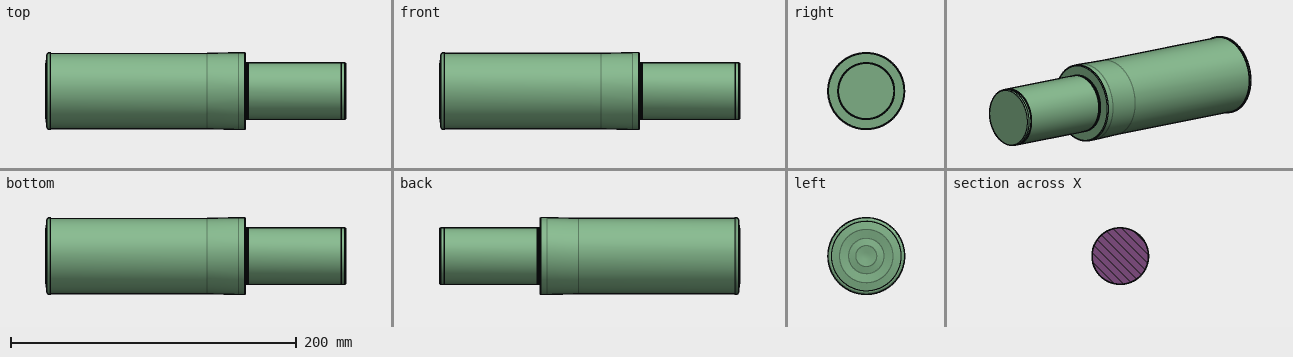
import cadquery as cq

TOTAL_LENGTH = 210.0
HOUSING_LENGTH = 139.9
LEFT_END = -TOTAL_LENGTH / 2
HOUSING_END = LEFT_END + HOUSING_LENGTH
RIGHT_END = LEFT_END + TOTAL_LENGTH

TUBE_RADIUS = 53.0 / 2
COLLAR_RADIUS = 54.0 / 2
COLLAR_LENGTH = 5.0
FLARE_LENGTH = 21.8
COLLAR_CHAMFER = 0.6

RIM_RADIUS = COLLAR_RADIUS
RIM_NOSE_RADIUS = 26.2
RIM_NOSE = 1.3
RIM_START = 2.7
RIM_END = 3.4

INNER_CREST_RADIUS = 7.4
VALLEY_RADIUS = 12.4
OUTER_CREST_RADIUS = 18.7
FACE_RADIUS = 24.4
WAVE_DEPTH = 0.8

ROD_RADIUS = 40.0 / 2
GROOVE_RADIUS = 39.5 / 2
GROOVE_WIDTH = 0.6
SEAT_GROOVE_PITCH = 1.3
SEAT_GROOVE_COUNT = 2
END_GROOVE_START = RIGHT_END - 3.5
ROD_CHAMFER_LENGTH = 1.0
ROD_CHAMFER_DEPTH = 0.6


def revolve_about_x(profile):
    """Close a half profile on the XY plane and turn it around the X axis."""
    return profile.close().revolve(360, (0, 0, 0), (1, 0, 0))


def make_housing():
    """Closed tube with a waved end, a rim, and a smooth flare up to a collar."""
    collar_start = HOUSING_END - COLLAR_LENGTH
    flare_start = collar_start - FLARE_LENGTH
    valley = LEFT_END + WAVE_DEPTH
    profile = (
        cq.Workplane("XY")
        .moveTo(valley, 0)
        .lineTo(LEFT_END, INNER_CREST_RADIUS)
        .lineTo(valley, VALLEY_RADIUS)
        .lineTo(LEFT_END, OUTER_CREST_RADIUS)
        .lineTo(valley, FACE_RADIUS)
        .threePointArc((LEFT_END + RIM_NOSE, RIM_NOSE_RADIUS), (LEFT_END + RIM_START, RIM_RADIUS))
        .lineTo(LEFT_END + RIM_END, RIM_RADIUS)
        .lineTo(LEFT_END + RIM_END, TUBE_RADIUS)
        .lineTo(flare_start, TUBE_RADIUS)
        .spline([(collar_start, COLLAR_RADIUS)], tangents=[(1, 0), (1, 0)], includeCurrent=True)
        .lineTo(HOUSING_END - COLLAR_CHAMFER, COLLAR_RADIUS)
        .lineTo(HOUSING_END, COLLAR_RADIUS - COLLAR_CHAMFER)
        .lineTo(HOUSING_END, 0)
    )
    return revolve_about_x(profile)


def make_groove_ring(start):
    """Ring of material that a shallow groove starting at the given X removes from the rod."""
    profile = (
        cq.Workplane("XY")
        .moveTo(start, GROOVE_RADIUS)
        .lineTo(start, COLLAR_RADIUS)
        .lineTo(start + GROOVE_WIDTH, COLLAR_RADIUS)
        .lineTo(start + GROOVE_WIDTH, GROOVE_RADIUS)
    )
    return revolve_about_x(profile)


def make_rod():
    """Round rod seated on the housing end, with shallow grooves and a chamfered free end."""
    profile = (
        cq.Workplane("XY")
        .moveTo(HOUSING_END, 0)
        .lineTo(HOUSING_END, ROD_RADIUS)
        .lineTo(RIGHT_END - ROD_CHAMFER_LENGTH, ROD_RADIUS)
        .lineTo(RIGHT_END, ROD_RADIUS - ROD_CHAMFER_DEPTH)
        .lineTo(RIGHT_END, 0)
    )
    body = revolve_about_x(profile)
    groove_starts = [HOUSING_END + i * SEAT_GROOVE_PITCH for i in range(SEAT_GROOVE_COUNT)]
    groove_starts.append(END_GROOVE_START)
    for start in groove_starts:
        body = body.cut(make_groove_ring(start))
    return body


housing = make_housing()
rod = make_rod()
result = cq.Compound.makeCompound([housing.val(), rod.val()])